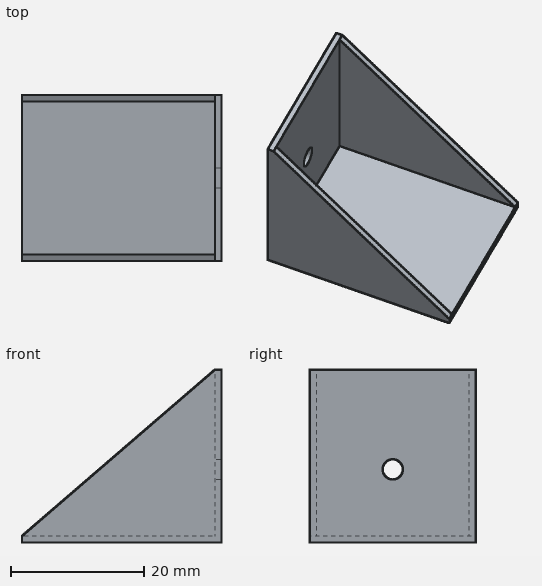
import cadquery as cq

LENGTH = 30.0
WIDTH = 25.0
HEIGHT = 26.0

WALL = 1.0

HOLE_DIAMETER = 3.0
HOLE_HEIGHT = 11.0


def make_wedge():
    """Solid wedge with a blunt front lip and a blunt top edge, one wall thick."""
    profile = [
        (0, 0),
        (LENGTH, 0),
        (LENGTH, HEIGHT),
        (LENGTH - WALL, HEIGHT),
        (0, WALL),
    ]
    return cq.Workplane("XZ").polyline(profile).close().extrude(-WIDTH)


def make_cavity():
    """Space between the side walls, above the base and in front of the back plate."""
    return cq.Workplane("XY").box(
        LENGTH - WALL, WIDTH - 2 * WALL, HEIGHT - WALL, centered=False
    ).translate((0, WALL, WALL))


def make_screw_hole():
    """Cylinder along X that passes through the back plate only."""
    return (
        cq.Workplane("YZ", origin=(LENGTH - WALL, WIDTH / 2, HOLE_HEIGHT))
        .circle(HOLE_DIAMETER / 2)
        .extrude(WALL)
    )


result = make_wedge().cut(make_cavity()).cut(make_screw_hole())